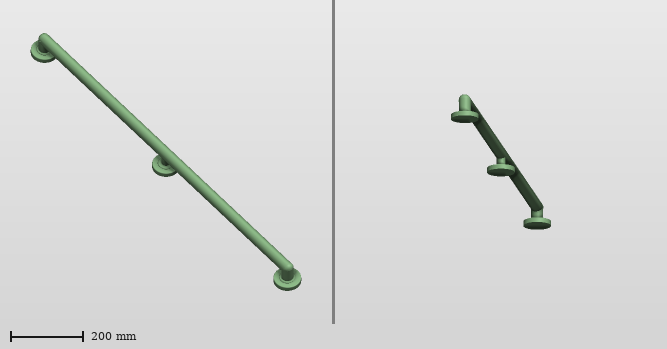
import cadquery as cq

rail_length = 1143.0
rail_height = 70.0

flange_diameter = 77.0
flange_thickness = 14.0
flange_rim_fillet = 2.0
hub_diameter = 46.0
hub_height = 2.0
hub_chamfer = 1.7

bar_diameter = 33.0
middle_post_diameter = 24.0
elbow_outer_radius = 13.0

bar_radius = bar_diameter / 2
bar_axis_z = rail_height - bar_radius
end_post_x = (rail_length - flange_diameter) / 2
hub_top_z = flange_thickness + hub_height

bend_x = end_post_x + bar_radius - elbow_outer_radius
bend_z = rail_height - elbow_outer_radius
bend_offset = bar_radius - elbow_outer_radius


def upright_cylinder(x, diameter, bottom_z, top_z):
    return (
        cq.Workplane("XY", origin=(x, 0, bottom_z))
        .circle(diameter / 2)
        .extrude(top_z - bottom_z)
    )


def flange(x):
    plate = upright_cylinder(x, flange_diameter, 0, flange_thickness)
    plate = plate.faces(">Z").edges().fillet(flange_rim_fillet)
    hub = upright_cylinder(x, hub_diameter, flange_thickness, hub_top_z)
    hub = hub.faces(">Z").edges().chamfer(hub_chamfer)
    return plate.union(hub)


def elbow_corner():
    """Outer corner at +X: the tube section beyond the bend centre, turned a quarter about Y."""
    half_width = (bar_radius**2 - bend_offset**2) ** 0.5
    return (
        cq.Workplane("YZ", origin=(bend_x, 0, bend_z))
        .moveTo(-half_width, 0)
        .threePointArc((0, elbow_outer_radius), (half_width, 0))
        .close()
        .revolve(90, (0, 0, 0), (1, 0, 0))
    )


bar = (
    cq.Workplane("YZ", origin=(-bend_x, 0, bar_axis_z))
    .circle(bar_radius)
    .extrude(2 * bend_x)
)

result = bar
for x in (-end_post_x, end_post_x):
    result = result.union(flange(x))
    result = result.union(upright_cylinder(x, bar_diameter, flange_thickness, bend_z))

corner = elbow_corner()
result = result.union(corner).union(corner.mirror("YZ"))

result = result.union(flange(0))
result = result.union(upright_cylinder(0, middle_post_diameter, flange_thickness, bar_axis_z))